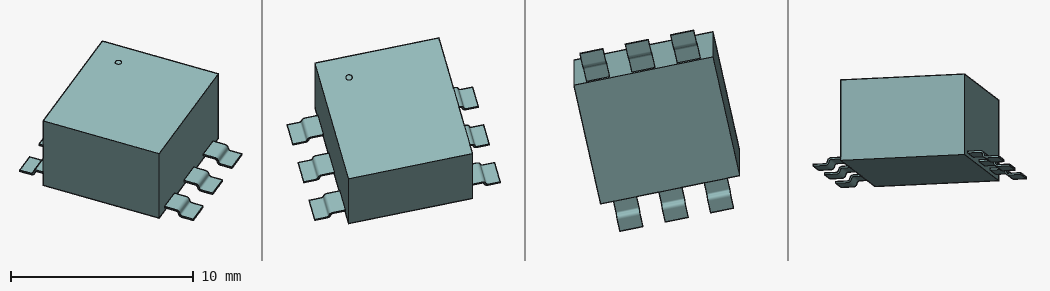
import cadquery as cq
import math

overall_length = 10.46
housing_length = 7.0
housing_width = 7.8
overall_height = 4.6

lead_thickness = 0.1
lead_width = 1.3
lead_pitch = 2.54
leads_per_side = 3
lead_height = 0.43
foot_length = 0.68
bend_inner_radius = 0.12
bend_angle = math.radians(72)
bend_outer_radius = bend_inner_radius + lead_thickness

housing_bottom = lead_thickness

marker_diameter = 0.36
marker_depth = 0.1
marker_x = -1.9
marker_y = lead_pitch


def make_marker():
    return (
        cq.Workplane("XY", origin=(marker_x, marker_y, overall_height - marker_depth))
        .circle(marker_diameter / 2)
        .extrude(marker_depth)
    )


def make_housing():
    """Plain block with a recess that holds the marker."""
    block = (
        cq.Workplane("XY", origin=(0, 0, housing_bottom))
        .rect(housing_length, housing_width)
        .extrude(overall_height - housing_bottom)
    )
    return block.cut(make_marker())


def make_lead(y):
    """Gull-wing lead on the -X side, butted against the housing and centred on y."""
    bend_radii = bend_inner_radius + bend_outer_radius
    bends_rise = bend_radii * (1 - math.cos(bend_angle))
    web_rise = lead_height - lead_thickness - bends_rise
    run = bend_radii * math.sin(bend_angle) + web_rise / math.tan(bend_angle)

    toe_x = -overall_length / 2
    housing_x = -housing_length / 2
    lower_x = toe_x + foot_length
    upper_x = lower_x + run
    lower_z = lead_thickness + bend_inner_radius
    upper_z = lead_height - bend_outer_radius

    def lower_point(radius, angle):
        return (lower_x + radius * math.sin(angle), lower_z - radius * math.cos(angle))

    def upper_point(radius, angle):
        return (upper_x - radius * math.sin(angle), upper_z + radius * math.cos(angle))

    half_bend = bend_angle / 2
    profile = (
        cq.Workplane("XZ", origin=(0, y + lead_width / 2, 0))
        .moveTo(toe_x, 0)
        .lineTo(toe_x, lead_thickness)
        .lineTo(*lower_point(bend_inner_radius, 0))
        .threePointArc(lower_point(bend_inner_radius, half_bend), lower_point(bend_inner_radius, bend_angle))
        .lineTo(*upper_point(bend_outer_radius, bend_angle))
        .threePointArc(upper_point(bend_outer_radius, half_bend), upper_point(bend_outer_radius, 0))
        .lineTo(housing_x, lead_height)
        .lineTo(housing_x, lead_height - lead_thickness)
        .lineTo(*upper_point(bend_inner_radius, 0))
        .threePointArc(upper_point(bend_inner_radius, half_bend), upper_point(bend_inner_radius, bend_angle))
        .lineTo(*lower_point(bend_outer_radius, bend_angle))
        .threePointArc(lower_point(bend_outer_radius, half_bend), lower_point(bend_outer_radius, 0))
        .close()
    )
    return profile.extrude(lead_width)


leads = []
for index in range(leads_per_side):
    row_y = (index - (leads_per_side - 1) / 2) * lead_pitch
    left_lead = make_lead(row_y)
    leads.append(left_lead.val())
    leads.append(left_lead.mirror("YZ").val())

marker = make_marker()
housing = make_housing()

result = cq.Compound.makeCompound([housing.val(), marker.val(), *leads])